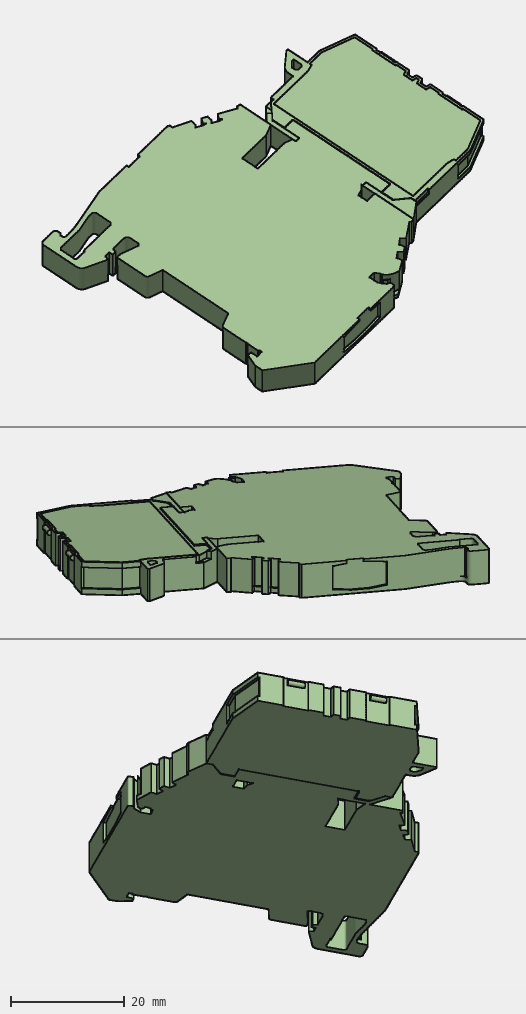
import cadquery as cq
import math

housing_height = 6.2
plug_height = 6.0

housing_right = 54.1
housing_left = 0.65
tooth_tip_left = 5.7
tooth_tip_right = 48.95
tooth_axis_x = (tooth_tip_left + tooth_tip_right) / 2
shoulder_y = 46.15
ledge_height = 0.9
tooth_pitch = (-1.6, -2.6)
tooth_count = 2
right_foot_low_y = 6.15
slit_low = (41.9, right_foot_low_y, 0)
slit_width = 0.4
slit_depth = 0.1
shelf_depth = 0.1
left_shelf_end = 20.2
right_shelf_start = 35.55
label_depth = 0.5
label_low_y = 18.6
label_high_y = 28.6
label_arch = 0.4
label_low_z = 1.1
label_high_z = 5.4
label_mouth_low_y = 22.9
label_mouth_high_y = 26.0

joint_y = 49.5
foot_y = 47.3
foot_gap = 0.2
strut_inner_left = 11.8
strut_inner_right = 43.85
strut_drop_ratio = 1.07
tongue_left = 16.85
tongue_right = 39.05

plug_left = 10.5
plug_right = 45.1
plug_top_y = 71.15
plug_shoulder_y = 64.4
plug_corner_inset = 2.5
wall_inset = 0.5
groove_low_z = 1.1
groove_high_z = 5.0
groove_end_y = 61.05
groove_top_reach = 2.9
tab_low_y = 57.0
tab_tip_x = 6.0
panel_depth = 0.1
panel_low_y = 50.15
panel_side_inset = 1.3
panel_taper_y = 59.7
panel_taper = 0.35
nub_radius = 0.5
nub_dip = 0.2
nub_dip_margin = 0.7
nub_spans = [(18.8, 21.7), (33.9, 37.05)]
notch_depth = 0.85
notch_flank = 0.2
notch_spans = [(25.5, 27.15), (28.5, 30.3)]
pocket_floor_z = 4.8
right_pocket_x = 44.7
right_pocket_high_y = 53.1


def rounded_outline(points):
    """Closed wire through (x, y) corners; a third value rounds that corner to this radius."""
    sections = []
    for i, corner in enumerate(points):
        if len(corner) == 2:
            sections.append([cq.Vector(*corner)])
            continue
        tip = cq.Vector(corner[0], corner[1])
        to_last = (cq.Vector(*points[i - 1][:2]) - tip).normalized()
        to_next = (cq.Vector(*points[(i + 1) % len(points)][:2]) - tip).normalized()
        half_angle = to_last.getAngle(to_next) / 2
        radius = corner[2]
        bisector = (to_last + to_next).normalized()
        tangent_run = radius / math.tan(half_angle)
        middle_run = radius / math.sin(half_angle) - radius
        sections.append([tip + to_last * tangent_run, tip + bisector * middle_run, tip + to_next * tangent_run])
    edges = []
    for i, section in enumerate(sections):
        if len(section) == 3:
            edges.append(cq.Edge.makeThreePointArc(*section))
        edges.append(cq.Edge.makeLine(section[-1], sections[(i + 1) % len(sections)][0]))
    return cq.Wire.assembleEdges(edges)


def prism(points, low_z, high_z):
    """Upright prism over a cornered outline, between two heights."""
    wire = rounded_outline(points).translate(cq.Vector(0, 0, low_z))
    return cq.Workplane(cq.Solid.extrudeLinear(wire, [], cq.Vector(0, 0, high_z - low_z)))


def block(low, high):
    """Box between two opposite corners."""
    size = [b - a for a, b in zip(low, high)]
    return cq.Workplane().box(*size, centered=False).translate(low)


def shifted(points, offset, times):
    """Points moved a number of times by a plane offset."""
    return [(x + times * offset[0], y + times * offset[1]) for x, y in points]


def mirrored(points):
    """Points reflected about the tooth axis, in reverse order."""
    return [(2 * tooth_axis_x - x, y) for x, y in reversed(points)]


def joint_points(bottom_y, left_notch_x, right_notch_x):
    """Underside of the plug, or the seat of the housing, for a given bottom level."""
    run = (joint_y - bottom_y) / strut_drop_ratio
    return [
        (plug_left, joint_y),
        (strut_inner_left, joint_y),
        (strut_inner_left + run, bottom_y),
        (left_notch_x, bottom_y),
        (left_notch_x, joint_y),
        (right_notch_x, joint_y),
        (right_notch_x, bottom_y),
        (strut_inner_right - run, bottom_y),
        (strut_inner_right, joint_y),
        (plug_right, joint_y),
    ]


seat_y = foot_y - foot_gap
seat_outline = joint_points(seat_y, tongue_left, tongue_right)
foot_outline = joint_points(foot_y, tongue_left - foot_gap, tongue_right)

shoulder_cap = [(7.45, shoulder_y), (7.3, 45.4), (7.7, 45.2)]
tooth = [(tooth_tip_left, 42.0), (6.6, 41.35), (5.9, 40.2), (4.7, 40.4)]
shoulder = shoulder_cap + [p for i in range(tooth_count) for p in shifted(tooth, tooth_pitch, i)]


def housing_outline():
    left_side = [
        (1.5, 34.6),
        (0.85, 34.6),
        (housing_left, 34.3),
        (housing_left, 15.3),
        (2.45, 6.15, 13.6),
        (2.45, 3.95, 0.7),
        (0, 3.95, 0.65),
    ]
    left_foot = [
        (0, 0, 0.65),
        (9.1, 0, 1.6),
        (11.45, 4.8),
        (10.6, 5.1),
        (10.6, 6.15),
        (11.4, 6.15),
        (11.4, 6.95),
        (10.6, 7.25),
        (10.6, 10.95, 0.85),
        (13.75, 10.95, 0.4),
        (12.3, 7.0),
        (12.3, 6.15, 0.3),
    ]
    rail_opening = [
        (19.3, 6.15, 0.7),
        (20.35, 9.2),
        (35.4, 9.2),
        (36.5, right_foot_low_y, 0.7),
    ]
    right_foot = [
        (44.65, right_foot_low_y),
        (44.8, 6.4),
        (45.35, 6.4),
        (45.35, 5.1),
        (44.0, 5.1),
        (44.0, 4.2),
        (46.4, 3.3),
        (48.1, 3.3),
        (housing_right, 10.5),
    ]
    right_clip = [
        (housing_right, 32.7, 0.3),
        (53.1, 32.7),
        (52.7, 32.0),
        (51.3, 31.25),
        (49.45, 31.25),
        (49.45, 32.5),
        (50.45, 33.1),
        (51.0, 33.0),
        (51.6, 32.1, 0.35),
        (52.3, 32.8),
        (53.2, 34.7),
    ]
    left_strut_foot = [(13.6, shoulder_y)]
    return (left_side + left_foot + rail_opening + right_foot + right_clip + mirrored(shoulder)
            + list(reversed(seat_outline)) + left_strut_foot + shoulder)


def housing_windows():
    lever_slot = [
        (14.5, shoulder_y),
        (19.55, shoulder_y),
        (18.9, 44.6),
        (18.9, 37.2),
        (15.3, 37.2),
        (15.3, 43.85),
    ]
    small_window = [
        (35.25, shoulder_y),
        (38.3, shoulder_y),
        (38.3, 44.0),
        (36.3, 44.0),
        (36.05, 45.3),
    ]
    spring_slot = [
        (2.7, 11.4, 0.6),
        (6.9, 11.4, 0.4),
        (6.9, 3.6),
        (7.1, 3.6),
        (7.1, 1.15, 0.4),
        (3.4, 1.15, 0.4),
        (3.4, 6.65),
        (2.7, 9.9),
    ]
    windows = cq.Workplane()
    for outline in (lever_slot, small_window, spring_slot):
        windows = windows.add(prism(outline, 0, housing_height))
    return windows.combine()


def ledge_cuts():
    """Undercuts in the outline that stop at a thin floor."""
    tooth_undercut = [(5.9, 40.2), (6.6, 41.35), (7.1, 41.6), (7.0, 41.1), (6.15, 39.7)]
    foot_undercut = [(1.35, 3.95), (1.5, 3.6), (2.15, 3.6), (2.45, 3.95), (2.45, 4.7), (1.7, 4.7)]
    outlines = [shifted(tooth_undercut, tooth_pitch, i) for i in range(tooth_count)]
    outlines.append(foot_undercut)
    cuts = [prism(outline, ledge_height, housing_height) for outline in outlines]
    clip_cut = (
        cq.Workplane(origin=(0, 0, ledge_height))
        .moveTo(52.6, 35.7)
        .threePointArc((52.0, 34.25), (50.8, 33.2))
        .lineTo(51.0, 31.5)
        .lineTo(53.75, 34.7)
        .close()
        .extrude(housing_height - ledge_height)
    )
    return cuts + [clip_cut]


def label_recess(face_x, inward):
    """Shallow bowed label recess in a side face, with a mouth in the top face."""
    middle_y = (label_low_y + label_high_y) / 2
    field = (
        cq.Workplane("YZ", origin=(face_x, 0, 0))
        .moveTo(label_low_y, label_low_z)
        .threePointArc((middle_y, label_low_z - label_arch), (label_high_y, label_low_z))
        .lineTo(label_high_y, label_high_z)
        .threePointArc((middle_y, label_high_z + label_arch), (label_low_y, label_high_z))
        .close()
        .extrude(inward * label_depth)
    )
    mouth_x = sorted([face_x, face_x + inward * label_depth])
    mouth = block((mouth_x[0], label_mouth_low_y, label_high_z),
                  (mouth_x[1], label_mouth_high_y, housing_height))
    return field.union(mouth)


def sole_slit():
    """Hairline slit across the sole of the right foot."""
    x, y, z = slit_low
    return block(slit_low, (x + slit_width, y + slit_depth, z + housing_height))


def shelves():
    """Slight steps on the struts and window bridges on both sides of the tongue."""
    low_z = housing_height - shelf_depth
    left_shelf = block((plug_left, shoulder_y, low_z), (left_shelf_end, seat_y, housing_height))
    left_strut = block((plug_left, seat_y, low_z), (tongue_left, joint_y, housing_height))
    right_shelf = block((right_shelf_start, shoulder_y, low_z), (housing_right, seat_y, housing_height))
    right_strut = block((tongue_right, seat_y, low_z), (housing_right, joint_y, housing_height))
    return [left_shelf, left_strut, right_shelf, right_strut]


def strut_pockets():
    """Pockets in the top face that run across the joint on both sides."""
    left = prism(
        [
            (plug_left, 50.9),
            (11.2, 50.9),
            (11.2, panel_low_y),
            (strut_inner_left, joint_y),
            (13.0, 48.3),
            (12.25, 47.6),
            (plug_left, 49.3),
        ],
        pocket_floor_z, housing_height)
    right = block((right_pocket_x, joint_y, pocket_floor_z), (plug_right, right_pocket_high_y, housing_height))
    return [left, right]


def make_housing():
    body = prism(housing_outline(), 0, housing_height)
    body = body.cut(housing_windows())
    cuts = ledge_cuts() + shelves() + strut_pockets()
    cuts.append(sole_slit())
    cuts.append(label_recess(housing_left, 1))
    cuts.append(label_recess(housing_right, -1))
    for cut in cuts:
        body = body.cut(cut)
    return body


def plug_outline():
    dips = []
    for start, end in nub_spans:
        left = start - nub_dip_margin
        right = end + nub_dip_margin
        floor_y = plug_top_y - nub_dip
        dips.append([(left, plug_top_y), (left, floor_y), (right, floor_y), (right, plug_top_y)])
    notches = []
    for start, end in notch_spans:
        floor_y = plug_top_y - notch_depth
        notches += [(start, plug_top_y), (start + notch_flank, floor_y),
                    (end - notch_flank, floor_y), (end, plug_top_y)]
    top_edge = dips[0] + notches + dips[1]
    corner_left = [(plug_left, plug_shoulder_y), (plug_left + plug_corner_inset, plug_top_y)]
    corner_right = [(plug_right - plug_corner_inset, plug_top_y), (plug_right, plug_shoulder_y)]
    return corner_left + top_edge + corner_right + list(reversed(foot_outline))


def inner_prism(low_z, high_z):
    """Plug outline moved inward by the wall inset."""
    inner = rounded_outline(plug_outline()).offset2D(-wall_inset, "intersection")[0]
    inner = inner.translate(cq.Vector(0, 0, low_z))
    return cq.Workplane(cq.Solid.extrudeLinear(inner, [], cq.Vector(0, 0, high_z - low_z)))


def upper_part(low_z, high_z):
    """Region above the pull tab."""
    return block((0, groove_end_y, low_z), (housing_right, plug_top_y, high_z))


def rim_groove():
    """Groove along both sides and sloping corners, between two flanges; the top wall stays solid."""
    top_wall = block(
        (plug_left + groove_top_reach, plug_shoulder_y, groove_low_z),
        (plug_right - groove_top_reach, plug_top_y, groove_high_z))
    sides = upper_part(groove_low_z, groove_high_z).cut(inner_prism(groove_low_z, groove_high_z))
    return sides.cut(top_wall)


def cover_panel():
    """Slightly sunk panel of the top face."""
    low_z = plug_height - panel_depth
    upper = inner_prism(low_z, plug_height).intersect(upper_part(low_z, plug_height))
    left = plug_left + panel_side_inset
    right = plug_right - panel_side_inset
    lower = prism(
        [
            (left, panel_low_y),
            (right, panel_low_y),
            (right, panel_taper_y),
            (right + panel_taper, groove_end_y),
            (left - panel_taper, groove_end_y),
            (left, panel_taper_y),
        ],
        low_z, plug_height)
    return upper.union(lower)


def pull_tab():
    tab = prism(
        [
            (plug_left + wall_inset, groove_end_y),
            (tab_tip_x, groove_end_y),
            (tab_tip_x, 60.6),
            (8.5, tab_low_y, 2.0),
            (plug_left + wall_inset, tab_low_y),
        ],
        0, plug_height)
    eye = prism([(8.25, 60.0), (10.3, 60.0, 0.5), (10.3, 58.4, 0.5), (9.1, 58.4, 0.35), (8.25, 59.5)],
                0, plug_height)
    return tab.cut(eye)


def make_nub(start, end):
    """Round bar along the top edge."""
    return (
        cq.Workplane("YZ", origin=(start, plug_top_y, groove_high_z))
        .circle(nub_radius)
        .extrude(end - start)
    )


def make_plug():
    body = prism(plug_outline(), 0, plug_height)
    body = body.cut(rim_groove()).union(pull_tab())
    for start, end in nub_spans:
        body = body.union(make_nub(start, end))
    body = body.cut(cover_panel())
    for pocket in strut_pockets():
        body = body.cut(pocket)
    return body


housing = make_housing()
plug = make_plug()

result = cq.Compound.makeCompound([housing.solids().val(), plug.solids().val()])